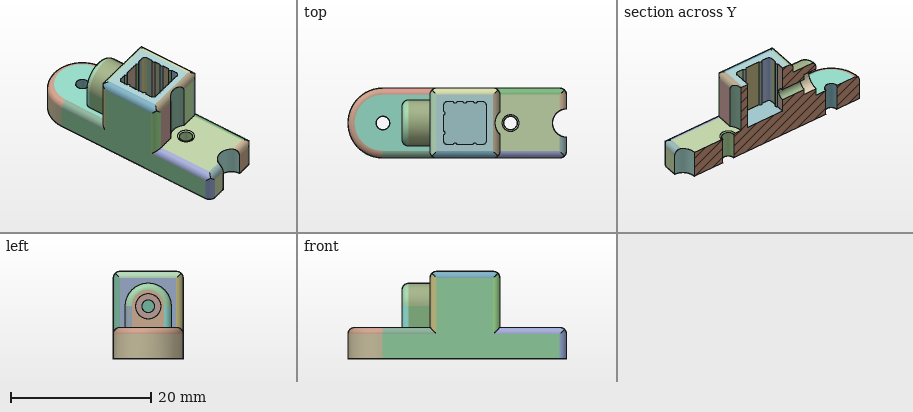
import cadquery as cq

plate_width = 10.0
plate_height = 4.5
end_radius = plate_width / 2
plate_end_x = 26.2
edge_radius = 1.0
notch_radius = 2.0

tower_size = 10.0
tower_start_x = 6.7
tower_center_x = tower_start_x + tower_size / 2
total_height = 12.5
socket_size = 6.1
socket_corner_radius = 0.5
socket_floor_z = plate_height

rib_radius = 0.3
rib_height = 0.2
rib_offset = 1.4
far_rib_offset = 1.5

boss_length = 4.0
boss_radius = 3.3
boss_axis_z = 7.5
bore_diameter = 3.6
bore_depth = 2.1
pin_hole_diameter = 1.8

screw_hole_diameter = 1.9
rear_hole_x = 18.2
countersink_diameter = 2.4
countersink_depth = 0.1
driver_clearance_radius = 2.2


def rounded_block(start_x, end_x, height):
    """Block with upright and top edges rounded, the roundings meeting in mitres at the corners."""
    length = end_x - start_x
    center_x = (start_x + end_x) / 2
    full = cq.Workplane("XY").box(length, plate_width, height, centered=(True, True, False))
    block = full.edges("|Z").fillet(edge_radius)
    block = block.intersect(full.edges("|X and >Z").fillet(edge_radius))
    block = block.intersect(full.edges("|Y and >Z").fillet(edge_radius))
    return block.translate((center_x, 0, 0))


def make_plate():
    """Plate with one full-round end and one square, rounded-edge end."""
    round_end = cq.Workplane("XY").circle(end_radius).extrude(plate_height)
    round_end = round_end.faces(">Z").edges().fillet(edge_radius)
    straight = rounded_block(-end_radius, plate_end_x, plate_height)
    straight_region = cq.Workplane("XY").box(
        plate_end_x, plate_width, plate_height, centered=(False, True, False)
    )
    return round_end.union(straight.intersect(straight_region))


def make_boss():
    """Arched boss with a rounded front rim, running from the plate into the tower."""
    boss_start_x = tower_start_x - boss_length
    straight_height = boss_axis_z - plate_height
    boss = (
        cq.Workplane("YZ", origin=(boss_start_x, 0, plate_height))
        .moveTo(-boss_radius, 0)
        .lineTo(-boss_radius, straight_height)
        .threePointArc((0, straight_height + boss_radius), (boss_radius, straight_height))
        .lineTo(boss_radius, 0)
        .close()
        .extrude(boss_length + edge_radius)
    )
    return boss.faces("<X").edges("not <Z").fillet(edge_radius)


def make_socket():
    """Square blind socket, less the crush ribs that stand on its walls."""
    depth = total_height - socket_floor_z
    plane = cq.Workplane("XY", origin=(tower_center_x, 0, socket_floor_z))
    socket = plane.rect(socket_size, socket_size).extrude(depth)
    socket = socket.edges("|Z").fillet(socket_corner_radius)
    rib_wall = socket_size / 2 + rib_radius - rib_height
    rib_centers = [
        (-rib_offset, rib_wall),
        (0, rib_wall),
        (far_rib_offset, rib_wall),
        (-rib_offset, -rib_wall),
        (rib_offset, -rib_wall),
        (-rib_wall, -rib_offset),
        (-rib_wall, rib_offset),
    ]
    ribs = plane.pushPoints(rib_centers).circle(rib_radius).extrude(depth)
    return socket.cut(ribs)


def make_boss_bore():
    """Blind bore in the boss, with a smaller hole continuing into the socket."""
    plane = cq.Workplane("YZ", origin=(tower_start_x - boss_length, 0, boss_axis_z))
    bore = plane.circle(bore_diameter / 2).extrude(bore_depth)
    pin_hole_length = boss_length + tower_size / 2
    pin_hole = plane.circle(pin_hole_diameter / 2).extrude(pin_hole_length)
    return bore.union(pin_hole)


def make_screw_holes():
    """Two through holes; the rear one is countersunk and has driver clearance above the plate."""
    holes = (
        cq.Workplane("XY")
        .pushPoints([(0, 0), (rear_hole_x, 0)])
        .circle(screw_hole_diameter / 2)
        .extrude(plate_height)
    )
    clearance_plane = cq.Workplane("XY", origin=(rear_hole_x, 0, plate_height))
    countersink = (
        clearance_plane.circle(countersink_diameter / 2)
        .workplane(offset=-countersink_depth)
        .circle(screw_hole_diameter / 2)
        .loft()
    )
    clearance = clearance_plane.circle(driver_clearance_radius).extrude(total_height - plate_height)
    return holes.union(countersink).union(clearance)


def make_end_notch():
    """Half-round notch through the square end of the plate."""
    return cq.Workplane("XY", origin=(plate_end_x, 0, 0)).circle(notch_radius).extrude(plate_height)


tower = rounded_block(tower_start_x, tower_start_x + tower_size, total_height)
body = make_plate().union(tower).union(make_boss())
result = (
    body.cut(make_socket())
    .cut(make_boss_bore())
    .cut(make_screw_holes())
    .cut(make_end_notch())
)